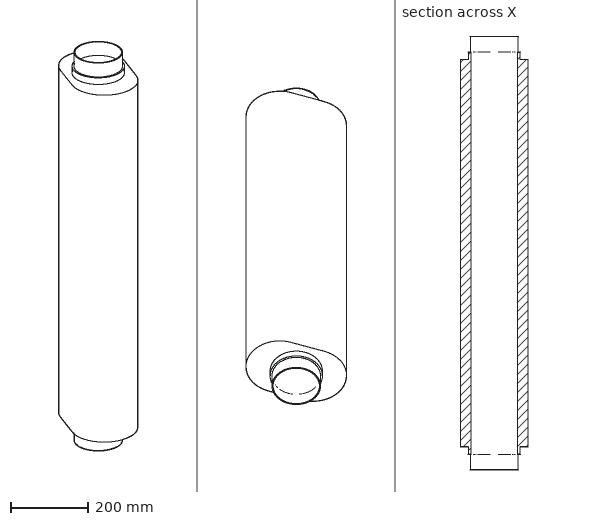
import cadquery as cq

total_length = 1120.0
shell_width = 265.0
shell_depth = 175.0

spigot_length = 40.0
collar_length = 19.0
spigot_diameter = 125.0
collar_diameter = 135.0
bore_diameter = 120.0

shell_length = total_length - 2 * (spigot_length + collar_length)
collar_span = shell_length + 2 * collar_length


def centred_cylinder(diameter, length):
    """Cylinder on the Z axis, centred on the origin."""
    return cq.Workplane("XY").circle(diameter / 2).extrude(length / 2, both=True)


shell = (
    cq.Workplane("XY")
    .slot2D(shell_width, shell_depth)
    .extrude(shell_length / 2, both=True)
)

collars = centred_cylinder(collar_diameter, collar_span)
spigots = centred_cylinder(spigot_diameter, total_length)
bore = centred_cylinder(bore_diameter, total_length)

result = shell.union(collars).union(spigots).cut(bore)